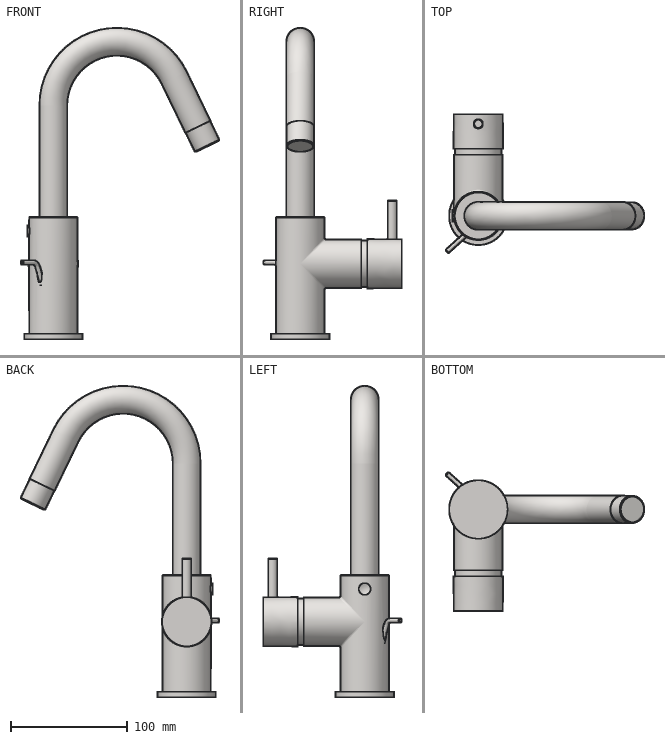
import cadquery as cq
import math

flange_radius = 25.3
flange_height = 5.0
body_radius = 21.0
body_height = 105.9
body_top_chamfer = 0.8

arm_radius = body_radius
arm_fillet = 1.5
arm_height = 65.3
arm_length = 52.7
groove_radius = 20.2
cap_start = 57.8
cap_end = 87.5
cap_inner_radius = 21.5
cap_outer_radius = 21.2

rod_radius = 4.0
rod_offset = 79.3
rod_top = 119.8
rod_chamfer = 0.5

total_height = 268.7
tube_radius = 12.0
bend_radius = 54.8
bend_height = total_height - tube_radius - bend_radius
outlet_tilt = 25.8
straight_length = 47.0
outlet_radius = 11.8
outlet_length = 18.8
outlet_chamfer = 0.8

button_radius = 5.0
button_height = 93.5
button_reach = 22.3
button_rim = 0.8
dish_depth = 0.8

pin_radius = 2.02
pin_tip_x = -27.1
pin_tip_y = -31.0
pin_height = 66.4
pin_direction = 42.0
pin_straight = 13.2
pin_bend_radius = 5.5
pin_bend_angle = 70.0
pin_leg = 17.5
pin_hole_radius = 2.5
pin_hole_depth = 16.0
pin_tip_chamfer = 0.5


def cylinder_along_y(radius, start, end):
    plane = cq.Plane(origin=(0, start, arm_height), xDir=(-1, 0, 0), normal=(0, 1, 0))
    return cq.Workplane(plane).circle(radius).extrude(end - start)


def body_with_arm():
    column = cq.Workplane("XY").circle(body_radius).extrude(body_height)
    arm = cylinder_along_y(arm_radius, 0, arm_length)
    flange = cq.Workplane("XY").circle(flange_radius).extrude(flange_height)
    return (
        column.union(arm)
        .edges("%ELLIPSE")
        .fillet(arm_fillet)
        .faces(">Z")
        .chamfer(body_top_chamfer)
        .union(flange)
    )


def groove_and_cap():
    core = cylinder_along_y(groove_radius, arm_length, cap_start)
    tapered_cap = (
        cq.Workplane("XZ", origin=(0, cap_start, arm_height))
        .circle(cap_inner_radius)
        .workplane(offset=cap_start - cap_end)
        .circle(cap_outer_radius)
        .loft()
    )
    return core.union(tapered_cap)


def operating_rod():
    return (
        cq.Workplane("XY", origin=(0, rod_offset, arm_height))
        .circle(rod_radius)
        .extrude(rod_top - arm_height)
        .faces(">Z")
        .chamfer(rod_chamfer)
    )


def spout():
    tilt = math.radians(outlet_tilt)
    crown_angle = (math.pi + tilt) / 2

    def on_bend(angle):
        return (
            bend_radius + bend_radius * math.cos(angle),
            bend_height + bend_radius * math.sin(angle),
        )

    bend_end_x, bend_end_z = on_bend(tilt)
    tip_x = bend_end_x + straight_length * math.sin(tilt)
    tip_z = bend_end_z - straight_length * math.cos(tilt)
    path = (
        cq.Workplane("XZ")
        .moveTo(0, flange_height)
        .lineTo(0, bend_height)
        .threePointArc(on_bend(crown_angle), (bend_end_x, bend_end_z))
        .lineTo(tip_x, tip_z)
    )
    tube = cq.Workplane("XY", origin=(0, 0, flange_height)).circle(tube_radius).sweep(path)
    outlet_plane = cq.Plane(
        origin=(tip_x, 0, tip_z),
        xDir=(0, 1, 0),
        normal=(math.sin(tilt), 0, -math.cos(tilt)),
    )
    outlet = (
        cq.Workplane(outlet_plane)
        .circle(outlet_radius)
        .extrude(outlet_length)
        .faces("<Z")
        .chamfer(outlet_chamfer)
    )
    return tube.union(outlet)


def button():
    dish_radius = button_radius - button_rim
    sphere_radius = (dish_radius**2 + dish_depth**2) / (2 * dish_depth)
    return (
        cq.Workplane("XY", origin=(0, 0, button_height))
        .lineTo(dish_depth - button_reach, 0)
        .radiusArc((-button_reach, dish_radius), -sphere_radius)
        .lineTo(-button_reach, button_radius)
        .lineTo(0, button_radius)
        .close()
        .revolve(360, (0, 0, 0), (1, 0, 0))
    )


def bent_pin():
    heading = math.radians(pin_direction)
    bend = math.radians(pin_bend_angle)
    tip = cq.Vector(pin_tip_x, pin_tip_y, pin_height)
    inward = cq.Vector(math.cos(heading), math.sin(heading), 0)
    sideways = cq.Vector(math.sin(heading), -math.cos(heading), 0)
    plane = cq.Plane(origin=tip, xDir=inward, normal=sideways)

    def on_bend(angle):
        return (
            pin_straight + pin_bend_radius * math.sin(angle),
            pin_bend_radius * (math.cos(angle) - 1),
        )

    bend_end = on_bend(bend)
    leg_direction = inward * math.cos(bend) - cq.Vector(0, 0, math.sin(bend))
    leg_end = (
        bend_end[0] + pin_leg * math.cos(bend),
        bend_end[1] - pin_leg * math.sin(bend),
    )
    path = (
        cq.Workplane(plane)
        .lineTo(pin_straight, 0)
        .threePointArc(on_bend(bend / 2), bend_end)
        .lineTo(*leg_end)
    )
    pin = (
        cq.Workplane(cq.Plane(origin=tip, xDir=sideways, normal=inward))
        .circle(pin_radius)
        .sweep(path)
        .faces("<X")
        .chamfer(pin_tip_chamfer)
    )
    hole_plane = cq.Plane(origin=plane.toWorldCoords(bend_end), xDir=sideways, normal=leg_direction)
    hole = cq.Workplane(hole_plane).circle(pin_hole_radius).extrude(pin_hole_depth)
    return pin, hole


pin, pin_hole = bent_pin()

result = (
    body_with_arm()
    .cut(pin_hole)
    .union(groove_and_cap())
    .union(operating_rod())
    .union(spout())
    .union(button())
    .union(pin)
)